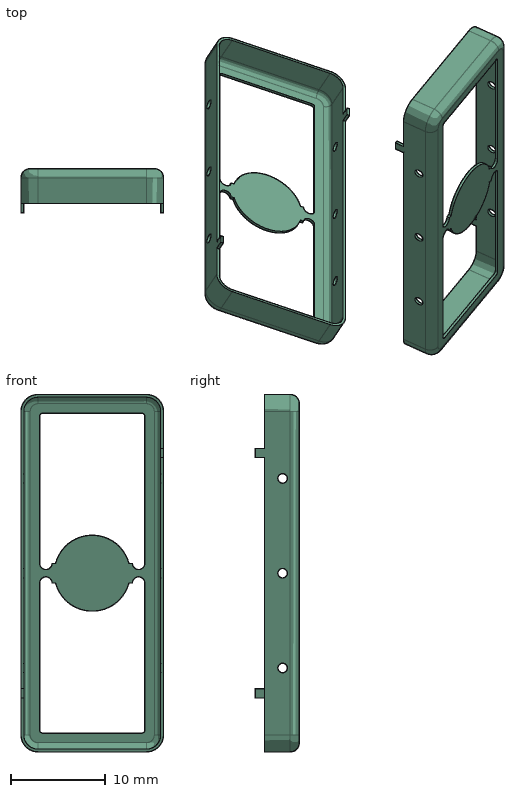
import cadquery as cq

width = 15.1
height = 37.8
body_depth = 3.7
wall = 0.3
corner_radius = 1.8
rim_radius = 1.0

window_margin = 2.0
window_width = width - 2 * window_margin
window_height = height - 2 * window_margin
window_corner_radius = 0.3

disc_diameter = 8.05
neck_height = 0.8
neck_relief_radius = 0.65
bridge_height = neck_height + 2 * neck_relief_radius

hole_diameter = 1.0
hole_pitch = 10.0
hole_from_open_edge = 1.93
tab_length = 1.0
tab_height = 1.0
tab_offset = 12.7


def rounded_block(x_size, z_size, y_start, y_end, radius):
    """Block centred on X and Z with rounded corners, spanning y_start to y_end."""
    block = cq.Workplane("XY").box(x_size, y_end - y_start, z_size)
    return block.edges("|Y").fillet(radius).translate((0, (y_start + y_end) / 2, 0))


def make_tray():
    """Thin rounded tray, open at y = 0, with its back rim rounded inside and out."""
    outer = rounded_block(width, height, 0, body_depth, corner_radius)
    outer = outer.faces(">Y").edges().fillet(rim_radius)
    cavity = rounded_block(
        width - 2 * wall, height - 2 * wall, 0, body_depth - wall, corner_radius - wall
    )
    cavity = cavity.faces(">Y").edges().fillet(rim_radius - wall)
    return outer.cut(cavity)


def make_disc_and_bridges():
    """Disc at the window centre, with a bridge to each side narrowed by round reliefs."""
    floor_middle = body_depth - wall / 2
    bridges = cq.Workplane("XY").box(window_width, wall, bridge_height)
    relief_x = window_width / 2 - neck_relief_radius
    relief_z = bridge_height / 2
    reliefs = (
        cq.Workplane("XZ")
        .rect(2 * relief_x, 2 * relief_z, forConstruction=True)
        .vertices()
        .circle(neck_relief_radius)
        .extrude(wall, both=True)
    )
    disc = cq.Workplane("XZ").circle(disc_diameter / 2).extrude(wall / 2, both=True)
    return bridges.cut(reliefs).union(disc).translate((0, floor_middle, 0))


def make_side_holes():
    """Three cylinders along X that pierce both long walls."""
    return (
        cq.Workplane("YZ")
        .pushPoints([(hole_from_open_edge, row * hole_pitch) for row in (-1, 0, 1)])
        .circle(hole_diameter / 2)
        .extrude(width, both=True)
    )


def make_tab(side):
    """Tab on the open edge: high on the +X wall (side = 1), low on the -X wall (side = -1)."""
    tab = cq.Workplane("XY").box(wall, 2 * tab_length, tab_height)
    return tab.translate((side * (width - wall) / 2, 0, side * tab_offset))


window = rounded_block(
    window_width, window_height, body_depth - 2 * wall, body_depth + wall, window_corner_radius
)
result = make_tray().cut(window).union(make_disc_and_bridges()).cut(make_side_holes())
for side in (-1, 1):
    result = result.union(make_tab(side))